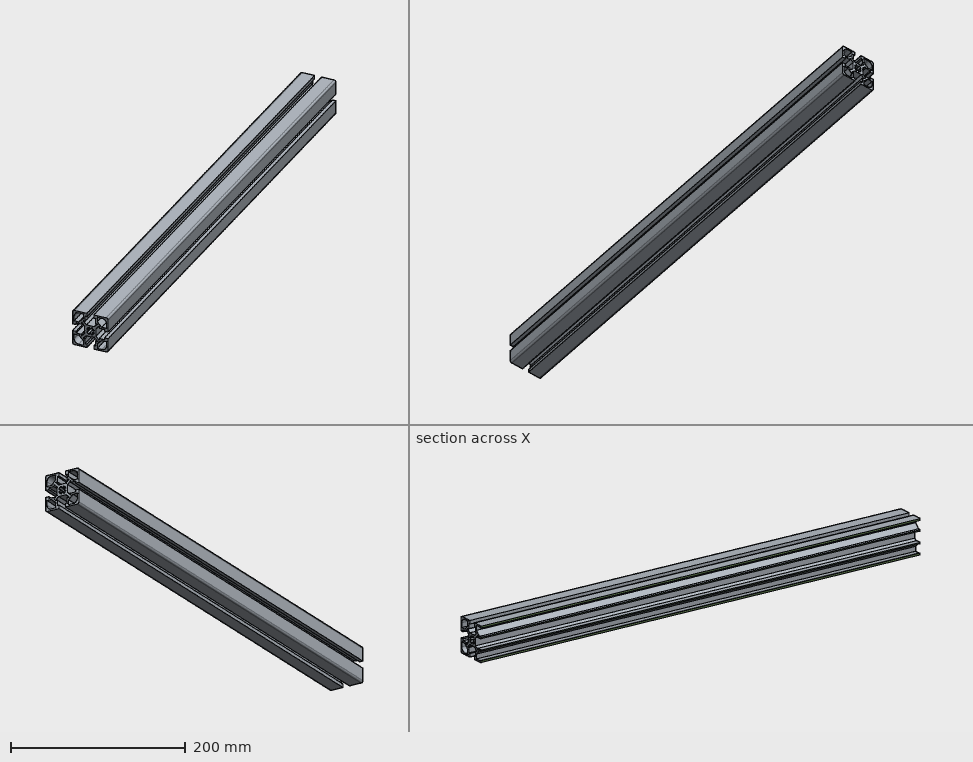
import cadquery as cq

side = 45.0
length = 612.0
half_side = side / 2

corner_radius = 2.4

slot_opening = 8.7
lip_depth = 4.5
slot_width = 13.4
slot_depth = 15.3
shoulder_height = 11.4
flare_half_width = 8.9
web_thickness = 3.3

wall = 2.0
slot_wall = 2.1
chamber_radius = 5.8
chamber_chamfer = 5.7

bore_diameter = 9.5
ridge_count = 4
ridge_width = 3.0
ridge_tip_gap = 6.5

side_count = 4


def along_length(profile):
    """Extrude a profile on the XZ plane over the full length, centred on Y."""
    return profile.extrude(length / 2, both=True)


def make_bar():
    """Square bar with rounded long edges."""
    bar = along_length(cq.Workplane("XZ").rect(side, side))
    return bar.edges("|Y").fillet(corner_radius)


def make_slot():
    """Slot in the +Z face: narrow opening, wide middle, then in along the web flanks to the floor."""
    opening_half = slot_opening / 2
    slot_half = slot_width / 2
    lip_bottom = half_side - lip_depth
    floor = half_side - slot_depth
    flank_rise = web_thickness / 2 * 2**0.5
    right_side = [
        (opening_half, half_side),
        (opening_half, lip_bottom),
        (slot_half, lip_bottom),
        (slot_half, shoulder_height),
        (flare_half_width, flare_half_width + flank_rise),
        (floor - flank_rise, floor),
    ]
    left_side = [(-x, z) for x, z in reversed(right_side)]
    return along_length(cq.Workplane("XZ").polyline(right_side + left_side).close())


def make_chamber():
    """Hollow of the +X +Z corner, rounded at its outer corner and chamfered next to the web."""
    outer = half_side - wall
    inner = slot_width / 2 + slot_wall
    chamfer_end = inner + chamber_chamfer
    arc_start = outer - chamber_radius
    arc_middle = arc_start + chamber_radius / 2**0.5
    profile = (
        cq.Workplane("XZ")
        .moveTo(inner, chamfer_end)
        .lineTo(inner, outer)
        .lineTo(arc_start, outer)
        .threePointArc((arc_middle, arc_middle), (outer, arc_start))
        .lineTo(outer, inner)
        .lineTo(chamfer_end, inner)
        .close()
    )
    return along_length(profile)


def make_bore():
    """Round bore narrowed by ridges facing the slots."""
    bore = along_length(cq.Workplane("XZ").circle(bore_diameter / 2))
    ridge_height = (bore_diameter - ridge_tip_gap) / 2
    ridge_centre = (bore_diameter - ridge_height) / 2
    ridges = (
        cq.Workplane("XZ")
        .polarArray(ridge_centre, 0, 360, ridge_count)
        .rect(ridge_height, ridge_width)
    )
    return bore.cut(along_length(ridges))


bar = make_bar()
slot_and_chamber = [make_slot(), make_chamber()]
for index in range(side_count):
    angle = index * 360 / side_count
    for hollow in slot_and_chamber:
        bar = bar.cut(hollow.rotate((0, 0, 0), (0, 1, 0), angle))

result = bar.cut(make_bore())